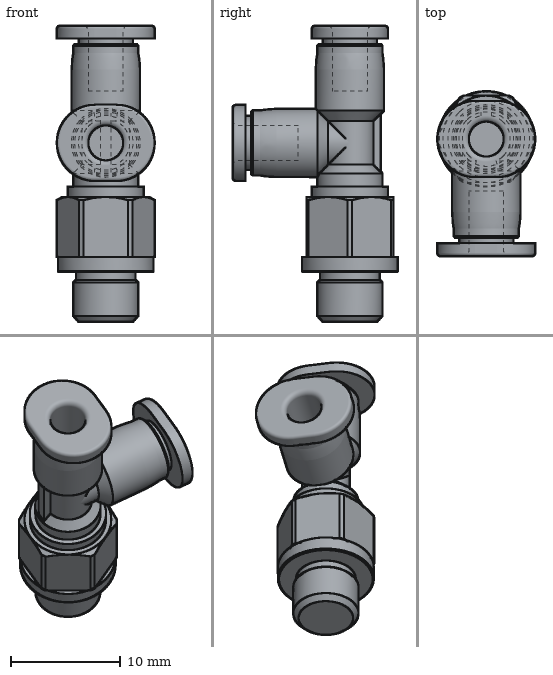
import cadquery as cq
import math


junction_height = 16.4
neck_radius = 2.2
neck_half_length = 2.0

port_length = 10.75
barrel_radius = 3.15
barrel_end = 6.7
collar_radius = 3.0
collar_start = 8.2
collar_end = 9.05
collar_chamfer = 0.15
sleeve_radius = 2.5

button_width = 9.0
button_height = 7.0
button_thickness = 1.2
button_rim_round = 0.3

bore_radius = 1.6
bore_mouth_round = 0.5
bore_depth = 6.0

web_thickness = 1.0
web_reach = 2.85

thread_radius = 3.0
thread_top = 3.6
tip_chamfer_radial = 0.5
tip_chamfer_height = 0.55
relief_radius = 2.75
flange_radius = 4.4
flange_bottom = 4.55
flange_edge_chamfer = 0.1

hex_bottom = 5.95
hex_top = 11.45
hex_across_flats = 8.0
hex_corner_diameter = 9.0
hex_chamfer_top_radius = 3.98
hex_chamfer_angle = 30.0

step_radius = 3.5
step_top = 12.4
body_radius = 3.0


def revolve_about_z(profile):
    """Revolve a closed (radius, height) outline about the Z axis."""
    return cq.Workplane("XZ").polyline(profile).close().revolve(360, (0, 0, 0), (0, 1, 0))


def make_port():
    """Port along +Z, with the junction centre at the origin and no bore yet."""
    shoulder_end = neck_half_length + barrel_radius - neck_radius
    button_base = port_length - button_thickness
    barrel = (
        cq.Workplane("XZ")
        .lineTo(neck_radius, 0)
        .lineTo(neck_radius, neck_half_length)
        .lineTo(barrel_radius, shoulder_end)
        .lineTo(barrel_radius, barrel_end)
        .tangentArcPoint((collar_radius, collar_start), relative=False)
        .lineTo(collar_radius, collar_end - collar_chamfer)
        .lineTo(collar_radius - collar_chamfer, collar_end)
        .lineTo(sleeve_radius, collar_end)
        .lineTo(sleeve_radius, button_base)
        .lineTo(0, button_base)
        .close()
        .revolve(360, (0, 0, 0), (0, 1, 0))
    )
    button = (
        cq.Workplane("XY")
        .workplane(offset=button_base)
        .slot2D(button_width, button_height)
        .extrude(button_thickness)
        .faces(">Z")
        .edges()
        .fillet(button_rim_round)
    )
    return barrel.union(button)


def make_port_bore():
    """Blind tube bore with a rounded mouth, placed to match make_port."""
    mouth_radius = bore_radius + bore_mouth_round
    mouth_depth = port_length - bore_mouth_round
    arc_offset = bore_mouth_round * math.sqrt(0.5)
    return (
        cq.Workplane("XZ")
        .moveTo(0, port_length - bore_depth)
        .lineTo(bore_radius, port_length - bore_depth)
        .lineTo(bore_radius, mouth_depth)
        .threePointArc(
            (mouth_radius - arc_offset, mouth_depth + arc_offset),
            (mouth_radius, port_length),
        )
        .lineTo(0, port_length)
        .close()
        .revolve(360, (0, 0, 0), (0, 1, 0))
    )


def on_both_ports(shape):
    """Copies of a +Z port shape at the top port and at the side (-Y) port."""
    junction = (0, 0, junction_height)
    top = shape.translate(junction)
    side = shape.rotate((0, 0, 0), (1, 0, 0), 90).translate(junction)
    return top, side


def make_stud():
    """Threaded end, relief groove and flange, up to the hexagon."""
    return revolve_about_z([
        (0, 0),
        (thread_radius - tip_chamfer_radial, 0),
        (thread_radius, tip_chamfer_height),
        (thread_radius, thread_top),
        (relief_radius, thread_top + thread_radius - relief_radius),
        (relief_radius, flange_bottom),
        (flange_radius - flange_edge_chamfer, flange_bottom),
        (flange_radius, flange_bottom + flange_edge_chamfer),
        (flange_radius, hex_bottom),
        (0, hex_bottom),
    ])


def make_hexagon():
    """Hexagon with flats facing +-Y, corners turned down and the top chamfered."""
    corner_radius = hex_corner_diameter / 2
    chamfer_slope = math.tan(math.radians(hex_chamfer_angle))
    chamfer_height = (corner_radius - hex_chamfer_top_radius) * chamfer_slope
    across_corners = 2 * hex_across_flats / math.sqrt(3)
    prism = (
        cq.Workplane("XY")
        .workplane(offset=hex_bottom)
        .polygon(6, across_corners)
        .extrude(hex_top - hex_bottom)
    )
    envelope = revolve_about_z([
        (0, hex_bottom),
        (corner_radius, hex_bottom),
        (corner_radius, hex_top - chamfer_height),
        (hex_chamfer_top_radius, hex_top),
        (0, hex_top),
    ])
    return prism.intersect(envelope)


def make_body():
    """Stepped body from the hexagon up to the junction centre."""
    neck_bottom = junction_height - neck_half_length
    return revolve_about_z([
        (0, hex_top),
        (step_radius, hex_top),
        (step_radius, step_top),
        (body_radius, step_top),
        (body_radius, neck_bottom - (body_radius - neck_radius)),
        (neck_radius, neck_bottom),
        (neck_radius, junction_height),
        (0, junction_height),
    ])


def make_web():
    """Flat web on the +Y side of the neck, joining the two shoulder bevels."""
    bevel_rise = math.hypot(web_reach, web_thickness / 2) - neck_radius
    web_height = 2 * (neck_half_length + bevel_rise)
    return (
        cq.Workplane("XY")
        .box(web_thickness, web_reach, web_height, centered=(True, False, True))
        .translate((0, 0, junction_height))
    )


top_port, side_port = on_both_ports(make_port())
top_bore, side_bore = on_both_ports(make_port_bore())

result = make_stud().union(make_hexagon()).union(make_body()).union(make_web())
result = result.union(top_port).union(side_port)
result = result.cut(top_bore).cut(side_bore)